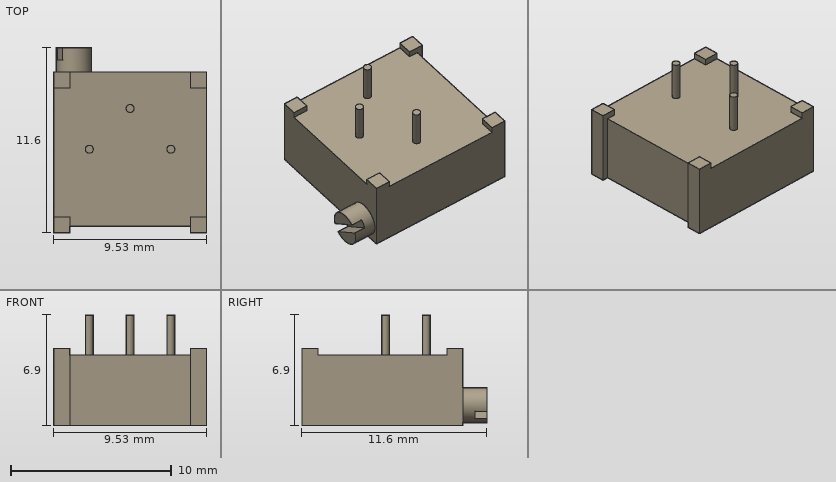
import cadquery as cq

housing_width = 9.53
total_length = 11.55
total_height = 6.9
screw_length = 1.51
housing_length = total_length - screw_length
housing_height = 4.82
corner_size = 1.0
step = 0.4
deck_height = housing_height - step

screw_diameter = 2.21
screw_from_left = 1.26
screw_height = 1.27
slot_width = 0.54
slot_depth = 0.76
slot_tilt = 35.0

pin_diameter = 0.5
pin_pitch = 2.54
pin_row_y = 5.22
pin_places = [
    (-pin_pitch, pin_row_y),
    (0, pin_row_y + pin_pitch),
    (pin_pitch, pin_row_y),
]


def make_housing():
    """Block centred on X, front face at Y = 0, bottom at Z = 0."""
    corner_to_corner = housing_width - 2 * corner_size
    block = cq.Workplane("XY").box(
        housing_width, housing_length, housing_height, centered=(True, False, False)
    )
    cross_cut = (
        cq.Workplane("XY", origin=(0, housing_length / 2, deck_height))
        .rect(corner_to_corner, housing_length)
        .extrude(step)
    )
    side_cut = (
        cq.Workplane("XY", origin=(0, housing_length / 2, deck_height))
        .rect(housing_width, housing_length - 2 * corner_size)
        .extrude(step)
    )
    front_recess = cq.Workplane("XY").box(
        corner_to_corner, step, housing_height, centered=(True, False, False)
    )
    return block.cut(cross_cut).cut(side_cut).cut(front_recess)


def make_screw():
    """Round head against the rear face, with a tilted driver slot across its end."""
    screw_x = screw_from_left - housing_width / 2
    head = (
        cq.Workplane("XZ", origin=(screw_x, housing_length, screw_height))
        .circle(screw_diameter / 2)
        .extrude(-screw_length)
    )
    slot = (
        cq.Workplane("XZ", origin=(screw_x, total_length, screw_height))
        .transformed(rotate=(0, 0, -slot_tilt))
        .rect(2 * screw_diameter, slot_width)
        .extrude(slot_depth)
    )
    return head.cut(slot)


def make_pin(x, y):
    """Round pin standing on the deck."""
    return (
        cq.Workplane("XY", origin=(x, y, deck_height))
        .circle(pin_diameter / 2)
        .extrude(total_height - deck_height)
    )


housing = make_housing()
screw = make_screw()
pins = [make_pin(x, y) for x, y in pin_places]

result = cq.Compound.makeCompound([housing.val(), screw.val(), *[pin.val() for pin in pins]])